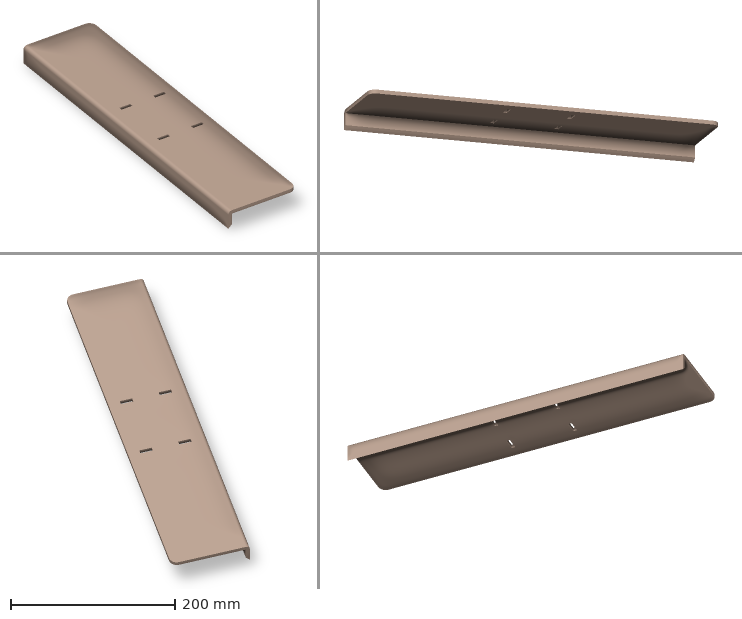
import cadquery as cq

length = 450.0
depth = 100.0
height = 25.0
thickness = 5.0
corner_radius = 10.0
slot_width = 5.0
slot_length = 15.8
slot_pitch_x = 83.0
slot_pitch_y = 49.5
rear_slot_inset = 23.0

front = -depth / 2
rear = depth / 2
leg_back = front + thickness
plate_bottom = height - thickness
rear_slot_y = rear - rear_slot_inset


def bent_sheet():
    """Flat plate with a front leg, a rounded outer bend and a 45 degree tip."""
    return (
        cq.Workplane("YZ")
        .moveTo(front, 0)
        .lineTo(front, plate_bottom)
        .radiusArc((leg_back, height), thickness)
        .lineTo(rear, height)
        .lineTo(rear, plate_bottom)
        .lineTo(leg_back, plate_bottom)
        .lineTo(leg_back, thickness)
        .close()
        .extrude(length / 2, both=True)
    )


def slots():
    """Four rectangular cutters through the plate."""
    return (
        cq.Workplane("XY")
        .workplane(offset=plate_bottom)
        .center(0, rear_slot_y - slot_pitch_y / 2)
        .rarray(slot_pitch_x, slot_pitch_y, 2, 2)
        .rect(slot_width, slot_length)
        .extrude(thickness)
    )


sheet = bent_sheet().edges("|Z and >Y").fillet(corner_radius)
result = sheet.cut(slots())